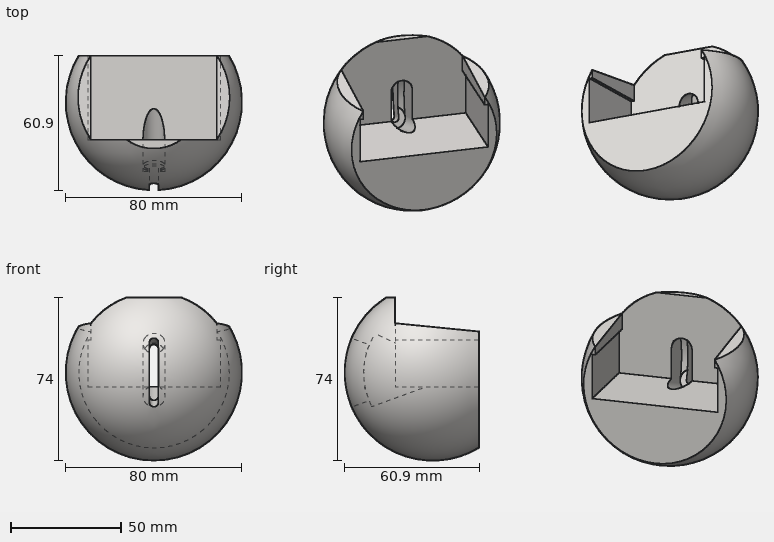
import cadquery as cq
import math

ball_radius = 40.0
back_y = 20.95
top_z = 34.0

pocket_front_y = -17.0
floor_z = -6.4
mouth_half_width = 28.5
undercut_half_width = 30.0
undercut_top_z = 14.7

rim_front_z = 22.3
rim_back_z = 18.55

swing_angle = 20.0
hub_upper_angle = 25.0
rod_radius = 2.0
hub_radius = 4.95
hub_reach = 31.4

overshoot = 8.0
cut_reach = ball_radius + overshoot


def block(half_width, front_y, bottom_z, top):
    """Box symmetric in X, from front_y out past the back face."""
    length = back_y + overshoot - front_y
    return cq.Workplane("XY").box(
        2 * half_width, length, top - bottom_z, centered=(True, False, False)
    ).translate((0, front_y, bottom_z))


def swing_space(radius, reach, upper_angle):
    """Space swept by a round rod pointing to -Y as it swings up and down."""
    ends = []
    for angle in (math.radians(upper_angle), math.radians(-swing_angle)):
        ends.append((-reach * math.cos(angle), reach * math.sin(angle)))
    upper_end, lower_end = ends
    space = (
        cq.Workplane("YZ")
        .lineTo(*upper_end)
        .threePointArc((-reach, 0), lower_end)
        .close()
        .extrude(radius, both=True)
    )
    for y, z in ends:
        rod = cq.Solid.makeCylinder(radius, reach, cq.Vector(0, 0, 0), cq.Vector(0, y, z))
        space = space.union(cq.Workplane(rod))
    return space


def rim_cut():
    """Everything above the sloping rims, behind the front wall."""
    slope = (rim_back_z - rim_front_z) / (back_y - pocket_front_y)
    end_y = back_y + overshoot
    return (
        cq.Workplane("YZ")
        .moveTo(pocket_front_y, rim_front_z)
        .lineTo(end_y, rim_back_z + slope * overshoot)
        .lineTo(end_y, cut_reach)
        .lineTo(pocket_front_y, cut_reach)
        .close()
        .extrude(cut_reach, both=True)
    )


back_radius = math.sqrt(ball_radius**2 - back_y**2)
body = (
    cq.Workplane("YZ")
    .moveTo(-ball_radius, 0)
    .threePointArc((0, -ball_radius), (back_y, -back_radius))
    .lineTo(back_y, 0)
    .close()
    .revolve(360, (0, 0), (1, 0))
)

body = body.cut(block(cut_reach, -cut_reach, top_z, cut_reach))

pocket = block(mouth_half_width, pocket_front_y, floor_z, cut_reach)
pocket = pocket.union(block(undercut_half_width, pocket_front_y, floor_z, undercut_top_z))
pocket = pocket.union(rim_cut())
body = body.cut(pocket)

body = body.cut(swing_space(rod_radius, cut_reach, swing_angle))
result = body.cut(swing_space(hub_radius, hub_reach, hub_upper_angle))